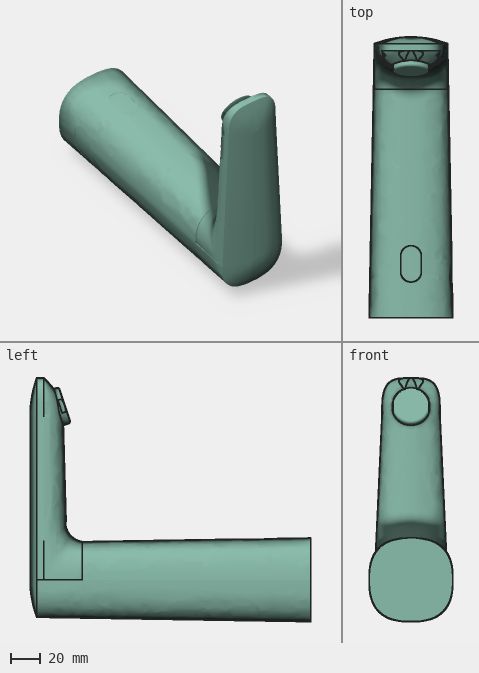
import cadquery as cq
import math

END_HALF_WIDTH = 28.245
END_HALF_HEIGHT = 28.2
BACK_HALF_WIDTH = 24.7
BACK_HALF_HEIGHT = 25.2
ARM_POWER = 2.6
END_EDGE_RADIUS = 0.5
TOTAL_DEPTH = 189.1
DOME_HEIGHT = 4.5
RIM_Y = TOTAL_DEPTH - DOME_HEIGHT
PLATE_THICKNESS = 4.7
SEAM_Y = RIM_Y - PLATE_THICKNESS

TOP_Z = 135.91
HEAD_Z = 110.0
HEAD_HALF_WIDTH = 19.6
HEAD_DEPTH = 13.1
UPRIGHT_POWER = 2.15
HEAD_SLOPE_POWER = 2.1
HEAD_POWER = 3.5

ELBOW_Y = 154.0
ELBOW_Z = 40.0
ELBOW_UPRIGHT_DEPTH = 15.1
ELBOW_STEPS = 12
SEAM_POWER = 8
ELBOW_SKIRT = 6.0

NOZZLE_TILT = 18.5
NOZZLE_DIAMETER = 25.4
NOZZLE_FACE_Y = 165.7
NOZZLE_FACE_Z = 117.7
NOZZLE_LENGTH = 14.0
NOZZLE_EDGE_RADIUS = 1.6
FLAT_CHORD = 9.2
FLAT_LENGTH = 3.4

TOP_WINDOW_WIDTH = 14.0
TOP_WINDOW_LENGTH = 24.5
TOP_WINDOW_Y = 36.3
SIDE_WINDOW_WIDTH = 18.0
SIDE_WINDOW_HEIGHT = 24.5
SIDE_WINDOW_Y = 26.5
WINDOW_RECESS = 0.2

DOME_LEVELS = (1.0, 0.85, 0.7, 0.5, 0.3, 0.1)
HEAD_LEVELS = (0.0, 0.3, 0.55, 0.75, 0.88, 0.96, 0.996)
QUARTER_STEPS = 8

UP = cq.Vector(0, 0, 1)
DOWN = cq.Vector(0, 0, -1)
FRONT = cq.Vector(0, -1, 0)


def lerp(start, end, fraction):
    return start + (end - start) * fraction


def power_point(angle, power):
    """Point of the unit superellipse at a parameter angle in the first quadrant."""
    c = max(math.cos(angle), 0.0)
    s = max(math.sin(angle), 0.0)
    return c ** (2 / power), s ** (2 / power)


def quarter(origin, across, up, power):
    """Superellipse quarter from origin + across to origin + up."""
    points = []
    for step in range(QUARTER_STEPS + 1):
        a, b = power_point(math.pi / 2 * step / QUARTER_STEPS, power)
        points.append(origin + across * a + up * b)
    return cq.Edge.makeSpline(points, tangents=[up, across * -1])


def half_section(origin, half_width, direction, depth, power, skirt=0):
    """Half superellipse wire crowned along direction, with an optional straight skirt behind it."""
    side = cq.Vector(half_width, 0, 0)
    crown = direction * depth
    back = origin - direction * skirt
    edges = [cq.Edge.makeLine(back - side, back + side)]
    if skirt:
        edges.append(cq.Edge.makeLine(back + side, origin + side))
    edges.append(quarter(origin, side, crown, power))
    edges.append(quarter(origin, side * -1, crown, power))
    if skirt:
        edges.append(cq.Edge.makeLine(origin - side, back - side))
    return cq.Wire.assembleEdges(edges)


def arm_half_width(y):
    return lerp(END_HALF_WIDTH, BACK_HALF_WIDTH, y / RIM_Y)


def arm_half_height(y):
    return lerp(END_HALF_HEIGHT, BACK_HALF_HEIGHT, y / RIM_Y)


def upright_half_width(z):
    return lerp(BACK_HALF_WIDTH, HEAD_HALF_WIDTH, z / HEAD_Z)


def back_outline(y, scale, with_bottom):
    """Outline of the back in a plane of constant y, shrunk towards its centre line."""
    low = cq.Vector(0, y, 0)
    high = cq.Vector(0, y, HEAD_Z)
    low_side = cq.Vector(BACK_HALF_WIDTH * scale, 0, 0)
    high_side = cq.Vector(HEAD_HALF_WIDTH * scale, 0, 0)
    crown = cq.Vector(0, 0, (TOP_Z - HEAD_Z) * scale)
    edges = [
        cq.Edge.makeLine(low + low_side, high + high_side),
        quarter(high, high_side, crown, HEAD_POWER),
        quarter(high, high_side * -1, crown, HEAD_POWER),
        cq.Edge.makeLine(high - high_side, low - low_side),
    ]
    if with_bottom:
        foot = cq.Vector(0, 0, -BACK_HALF_HEIGHT * scale)
        edges.append(quarter(low, low_side * -1, foot, ARM_POWER))
        edges.append(quarter(low, low_side, foot, ARM_POWER))
    else:
        edges.append(cq.Edge.makeLine(low - low_side, low + low_side))
    return cq.Wire.assembleEdges(edges)


def half_arm(direction, length, inset=0):
    """Half of the horizontal arm above or below its mid plane, from the open end to length."""
    sections = []
    for y in (0, length):
        origin = cq.Vector(0, y, 0)
        depth = arm_half_height(y) - inset
        sections.append(half_section(origin, arm_half_width(y) - inset, direction, depth, ARM_POWER))
    return cq.Solid.makeLoft(sections, True)


def back_plate():
    outline = back_outline(SEAM_Y, 1.0, False)
    return cq.Solid.extrudeLinear(outline, [], cq.Vector(0, PLATE_THICKNESS, 0))


def back_dome():
    """Shallow dome behind the rim, built from outlines that shrink towards the ridge."""
    sections = []
    for level in DOME_LEVELS:
        y = RIM_Y + DOME_HEIGHT * (1 - level ** 2) / (1 - DOME_LEVELS[-1] ** 2)
        sections.append(back_outline(y, level, True))
    return cq.Solid.makeLoft(sections, False)


def elbow():
    """Half sections swung about the elbow axis, from the upright arm to the horizontal arm."""
    centre = cq.Vector(0, ELBOW_Y, ELBOW_Z)
    reach = SEAM_Y - ELBOW_Y
    upright_gap = reach - ELBOW_UPRIGHT_DEPTH
    arm_gap = ELBOW_Z - arm_half_height(ELBOW_Y)
    sections = []
    for step in range(ELBOW_STEPS + 1):
        fraction = step / ELBOW_STEPS
        c, s = power_point(math.pi / 2 * fraction, 2)
        outer = ((c / reach) ** SEAM_POWER + (s / ELBOW_Z) ** SEAM_POWER) ** (-1 / SEAM_POWER)
        outward = cq.Vector(0, c, -s)
        seam_y = ELBOW_Y + outer * c
        seam_z = ELBOW_Z - outer * s
        half_width = min(arm_half_width(seam_y), upright_half_width(seam_z))
        depth = outer - lerp(upright_gap, arm_gap, fraction)
        power = lerp(UPRIGHT_POWER, ARM_POWER, fraction)
        origin = centre + outward * outer
        sections.append(half_section(origin, half_width, outward * -1, depth, power, ELBOW_SKIRT))
    swept = cq.Solid.makeLoft(sections, False)
    corner = cq.Workplane("XY").box(2 * END_HALF_WIDTH, reach, ELBOW_Z, centered=(True, False, False))
    return corner.translate((0, ELBOW_Y, 0)).intersect(cq.Workplane(swept)).val()


def upright_section(z, half_width, depth):
    return half_section(cq.Vector(0, SEAM_Y, z), half_width, FRONT, depth, UPRIGHT_POWER)


def upright_arm():
    return cq.Solid.makeLoft([
        upright_section(ELBOW_Z, upright_half_width(ELBOW_Z), ELBOW_UPRIGHT_DEPTH),
        upright_section(HEAD_Z, HEAD_HALF_WIDTH, HEAD_DEPTH),
    ], True)


def head():
    """Rounded head that slopes back to the top of the plate."""
    rise = TOP_Z - HEAD_Z
    sections = []
    for level in HEAD_LEVELS:
        half_width = HEAD_HALF_WIDTH * (1 - level ** HEAD_POWER) ** (1 / HEAD_POWER)
        depth = HEAD_DEPTH * (1 - level ** HEAD_SLOPE_POWER)
        sections.append(upright_section(HEAD_Z + rise * level, half_width, depth))
    return cq.Solid.makeLoft(sections, False)


def nozzle():
    """Round outlet with a rounded front edge and two flats on its sides."""
    tilt = math.radians(NOZZLE_TILT)
    plane = cq.Plane(
        origin=(0, NOZZLE_FACE_Y, NOZZLE_FACE_Z),
        xDir=(1, 0, 0),
        normal=(0, -math.cos(tilt), math.sin(tilt)),
    )
    radius = NOZZLE_DIAMETER / 2
    flat_offset = math.sqrt(radius ** 2 - (FLAT_CHORD / 2) ** 2)
    body = cq.Workplane(plane).circle(radius).extrude(-NOZZLE_LENGTH)
    front_face = cq.selectors.DirectionMinMaxSelector(plane.zDir)
    body = body.faces(front_face).edges().fillet(NOZZLE_EDGE_RADIUS)
    for side in (-1, 1):
        cutter = (
            cq.Workplane(plane)
            .center(side * (flat_offset + radius / 2), 0)
            .rect(radius, NOZZLE_DIAMETER)
            .extrude(-FLAT_LENGTH)
        )
        body = body.cut(cutter)
    return body


def window_recesses():
    """Shallow oval recesses that follow the arm surface, one on top and one on the +X side."""
    top = (
        cq.Workplane("XY")
        .center(0, TOP_WINDOW_Y)
        .slot2D(TOP_WINDOW_LENGTH, TOP_WINDOW_WIDTH, 90)
        .extrude(2 * END_HALF_HEIGHT)
    )
    side = (
        cq.Workplane("YZ")
        .center(SIDE_WINDOW_Y, 0)
        .slot2D(SIDE_WINDOW_HEIGHT, SIDE_WINDOW_WIDTH, 90)
        .extrude(2 * END_HALF_WIDTH)
    )
    recesses = top.union(side)
    for direction in (UP, DOWN):
        recesses = recesses.cut(cq.Workplane(half_arm(direction, RIM_Y, WINDOW_RECESS)))
    return recesses


result = cq.Workplane(half_arm(DOWN, RIM_Y))
pieces = (half_arm(UP, ELBOW_Y), elbow(), back_plate(), upright_arm(), head(), back_dome())
for piece in pieces:
    result = result.union(cq.Workplane(piece))
result = result.faces("<Y").edges().fillet(END_EDGE_RADIUS)
result = result.union(nozzle()).cut(window_recesses())